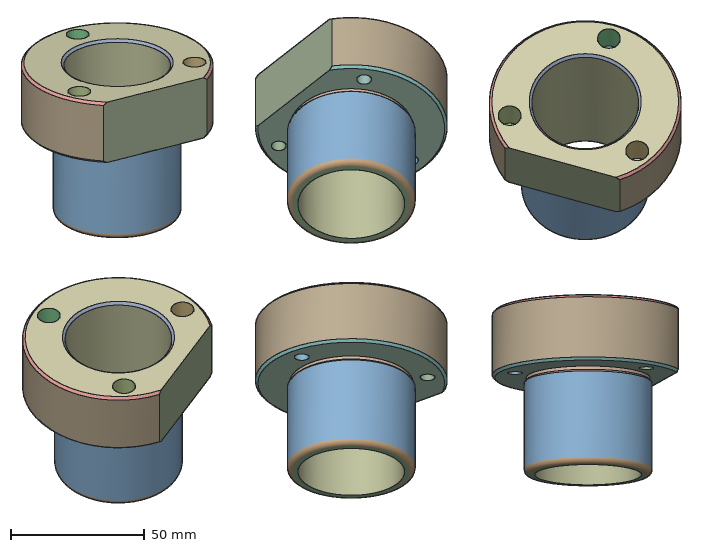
import cadquery as cq

total_height = 62.0
flange_thickness = 25.0
flange_bottom = total_height - flange_thickness

flange_radius = 36.0
flange_chamfer = 1.0
flat_distance = 28.0

sleeve_radius = 24.0
sleeve_end_fillet = 2.0
groove_width = 2.0
groove_depth = 0.75
groove_floor_radius = sleeve_radius - groove_depth

bore_radius = 20.0
bore_chamfer = 1.0

screw_count = 3
screw_circle_radius = 29.0
screw_start_angle = 180.0
screw_hole_diameter = 5.5
counterbore_diameter = 8.5
counterbore_depth = flange_thickness / 2


def make_flange():
    """Chamfered disc with one flat cut across its +X side."""
    disc = (
        cq.Workplane("XY", origin=(0, 0, flange_bottom))
        .circle(flange_radius)
        .extrude(flange_thickness)
        .edges("%CIRCLE")
        .chamfer(flange_chamfer)
    )
    beyond_flat = cq.Workplane("XY").box(
        flange_radius,
        2 * flange_radius,
        total_height,
        centered=(False, True, False),
    )
    return disc.cut(beyond_flat.translate((flat_distance, 0, 0)))


def make_sleeve():
    """Revolved sleeve: rounded lower end, sloped-side relief groove at the top."""
    groove_bottom = flange_bottom - groove_width
    profile = (
        cq.Workplane("XZ")
        .lineTo(sleeve_radius, 0)
        .lineTo(sleeve_radius, groove_bottom)
        .lineTo(groove_floor_radius, groove_bottom + groove_depth)
        .lineTo(groove_floor_radius, flange_bottom)
        .lineTo(0, flange_bottom)
        .close()
    )
    sleeve = profile.revolve(360, (0, 0, 0), (0, 1, 0))
    return sleeve.faces("<Z").edges().fillet(sleeve_end_fillet)


def cut_bore(body):
    """Through bore, chamfered at the flange face."""
    bore = cq.Workplane("XY").circle(bore_radius).extrude(total_height)
    mouth = (
        cq.Workplane("XY", origin=(0, 0, total_height))
        .circle(bore_radius + bore_chamfer)
        .workplane(offset=-bore_chamfer)
        .circle(bore_radius)
        .loft(ruled=True)
    )
    return body.cut(bore).cut(mouth)


def cut_screw_holes(body):
    """Counterbored holes through the flange, entered from its top face."""
    return (
        body.faces(">Z")
        .workplane(origin=(0, 0, total_height))
        .polarArray(screw_circle_radius, screw_start_angle, 360, screw_count)
        .cboreHole(screw_hole_diameter, counterbore_diameter, counterbore_depth)
    )


body = make_flange().union(make_sleeve())
body = cut_bore(body)
result = cut_screw_holes(body)